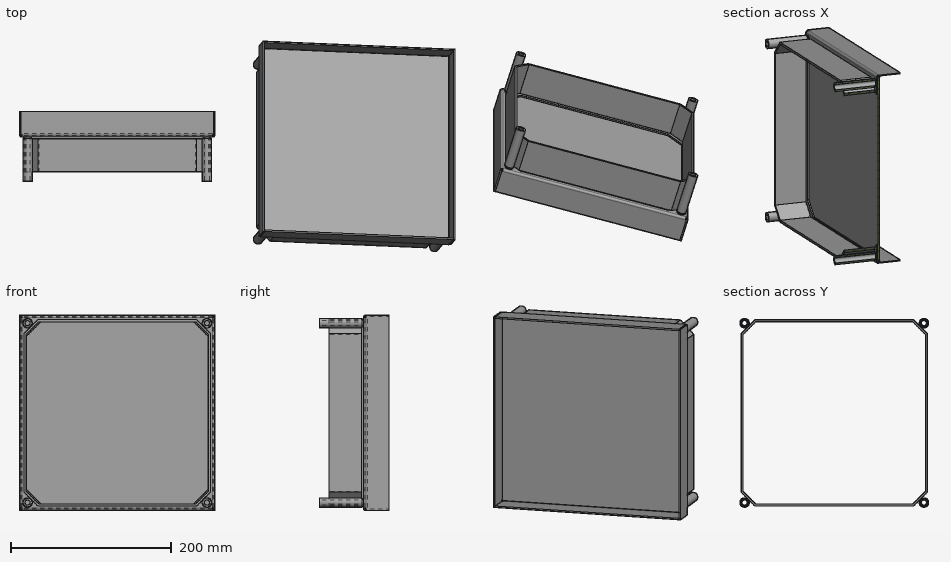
import cadquery as cq
import math

side = 243.0
total_depth = 87.0

sheet = 2.0
bend_radius = 3.0
housing_depth = 32.0
side_wall_corner_radius = 2.0
cross_wall_corner_radius = 1.0
seam = 0.12
window = 226.2
window_corner = 18.0

pane_thickness = 3.0

gap = 2.0
skirt_outer = 231.8
skirt_wall = 2.7
skirt_depth = 41.0
skirt_corner = 17.3

spacer_diameter = 12.0
neck_diameter = 10.0
bore_diameter = 6.3
spacer_inset = 10.0

flat_side = side - 2 * bend_radius
cross_wall_length = side - 2 * (sheet + seam)
spacer_place = side / 2 - spacer_inset
spacer_reach = total_depth - housing_depth


def plate(width, height, front, depth):
    """Rectangular block centred on the Y axis, from Y = front back toward +Y."""
    return cq.Workplane("XY").box(width, depth, height).translate((0, front + depth / 2, 0))


def octagonal_block(width, corner, front, depth):
    """Square block with four cut corners, from Y = front back toward +Y."""
    return plate(width, width, front, depth).edges("|Y").chamfer(corner)


def fold_and_wall(wall_length, corner_radius):
    """Wall on the -X side with the fold that joins it to the front sheet."""
    outer = -side / 2
    inner_radius = bend_radius - sheet
    diagonal = math.sqrt(0.5)
    centre_x = outer + bend_radius
    fold = (
        cq.Workplane("XY", origin=(0, 0, -flat_side / 2))
        .moveTo(outer, bend_radius)
        .threePointArc(
            (centre_x - bend_radius * diagonal, bend_radius * (1 - diagonal)),
            (centre_x, 0),
        )
        .lineTo(centre_x, sheet)
        .threePointArc(
            (centre_x - inner_radius * diagonal, bend_radius - inner_radius * diagonal),
            (outer + sheet, bend_radius),
        )
        .close()
        .extrude(flat_side)
    )
    wall_depth = housing_depth - bend_radius
    wall = (
        plate(sheet, wall_length, bend_radius, wall_depth)
        .translate((outer + sheet / 2, 0, 0))
        .edges("|X and <Y")
        .fillet(corner_radius)
    )
    return wall.union(fold)


def build_housing():
    """Front sheet with four folded walls and an eight-sided opening."""
    housing = plate(flat_side, flat_side, 0, sheet)
    side_wall = fold_and_wall(side, side_wall_corner_radius)
    cross_wall = fold_and_wall(cross_wall_length, cross_wall_corner_radius)
    for wall, first_angle in ((side_wall, 0), (cross_wall, 90)):
        for angle in (first_angle, first_angle + 180):
            housing = housing.union(wall.rotate((0, 0, 0), (0, 1, 0), angle))
    return housing.cut(octagonal_block(window, window_corner, 0, sheet))


def build_pane():
    """Flat pane against the back of the front sheet, filling the width between the folds."""
    return plate(flat_side, flat_side, sheet, pane_thickness)


def build_skirt():
    """Open eight-sided ring with an even wall thickness."""
    front = -gap - skirt_depth
    inner = skirt_outer - 2 * skirt_wall
    inner_corner = skirt_corner - (2 - math.sqrt(2)) * skirt_wall
    outside = octagonal_block(skirt_outer, skirt_corner, front, skirt_depth)
    return outside.cut(octagonal_block(inner, inner_corner, front, skirt_depth))


def build_spacer(x, z):
    """Bored tube with a narrower neck that rests on the housing face."""
    face = cq.Workplane("XZ", origin=(x, 0, z))
    neck = face.circle(neck_diameter / 2).extrude(gap)
    tube = face.workplane(offset=gap).circle(spacer_diameter / 2).extrude(spacer_reach - gap)
    bore = face.circle(bore_diameter / 2).extrude(spacer_reach)
    return neck.union(tube).cut(bore)


housing = build_housing()
pane = build_pane()
skirt = build_skirt()
spacers = [
    build_spacer(x, z)
    for x in (-spacer_place, spacer_place)
    for z in (-spacer_place, spacer_place)
]

result = cq.Compound.makeCompound(
    [housing.val(), pane.val(), skirt.val(), *[spacer.val() for spacer in spacers]]
)